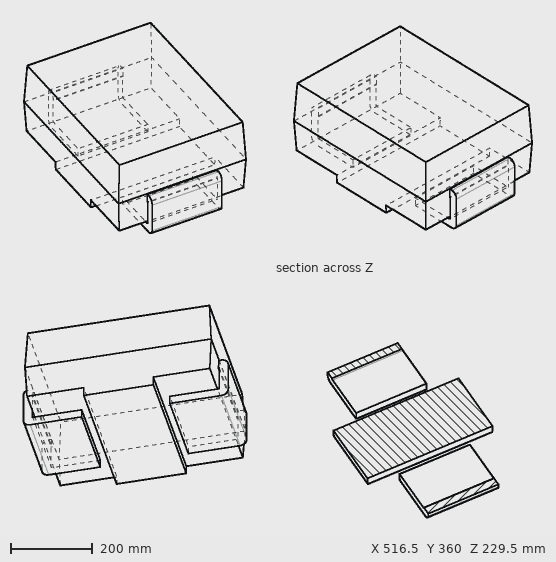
import cadquery as cq
import math

overall_length = 516.5
body_width = 360.0
overall_height = 229.5

body_length = 470.0
parting_height = 115.5
draft_angle = 3.0

underside_height = 26.5
standoff_length = 175.5
standoff_clearance = 2.5

lead_width = 197.0
lead_thickness = 22.5
lead_top = 113.5
lead_arm_bottom = 89.5
lead_outer_radius = 17.0
lead_inner_radius = 3.0
foot_end = 111.0


def drafted_block(height):
    """Block on the parting plane, tapering inward; negative height goes down."""
    shrink = 2 * abs(height) * math.tan(math.radians(draft_angle))
    return (
        cq.Workplane("XY", origin=(0, 0, parting_height))
        .rect(body_length, body_width)
        .workplane(offset=height)
        .rect(body_length - shrink, body_width - shrink)
        .loft(ruled=True)
    )


def make_upper_body():
    return drafted_block(overall_height - parting_height)


def make_lower_body():
    """Lower half, relieved at both ends so that the standoff remains."""
    body = drafted_block(standoff_clearance - parting_height)
    relief_length = (overall_length - standoff_length) / 2
    relief_offset = (overall_length + standoff_length) / 4
    for side in (-1, 1):
        relief = cq.Workplane("XY").box(
            relief_length, body_width, underside_height, centered=(True, True, False)
        )
        body = body.cut(relief.translate((side * relief_offset, 0, 0)))
    return body


def make_lead(side, lower_body):
    """C-shaped lead that starts on the drafted end wall and folds under the body."""
    outer = side * overall_length / 2
    inner = side * (overall_length / 2 - lead_thickness)
    wall = side * body_length / 2
    arm_end = wall - side * parting_height * math.tan(math.radians(draft_angle))
    foot = side * foot_end
    lead = (
        cq.Workplane("XZ")
        .polyline([
            (arm_end, lead_top),
            (outer, lead_top),
            (outer, 0),
            (foot, 0),
            (foot, lead_thickness),
            (inner, lead_thickness),
            (inner, lead_arm_bottom),
            (arm_end, lead_arm_bottom),
        ])
        .close()
        .extrude(lead_width / 2, both=True)
    )
    outer_face = ">X" if side > 0 else "<X"
    lead = lead.faces(outer_face).edges("|Y").fillet(lead_outer_radius)
    inner_corner = cq.selectors.NearestToPointSelector((inner, 0, lead_thickness))
    lead = lead.edges("|Y").edges(inner_corner).fillet(lead_inner_radius)
    pieces = lead.cut(lower_body).solids().vals()
    return cq.Workplane(max(pieces, key=lambda piece: piece.Volume()))


upper_body = make_upper_body()
lower_body = make_lower_body()
leads = [make_lead(side, lower_body) for side in (-1, 1)]

result = cq.Compound.makeCompound(
    [upper_body.val(), lower_body.val()] + [lead.val() for lead in leads]
)